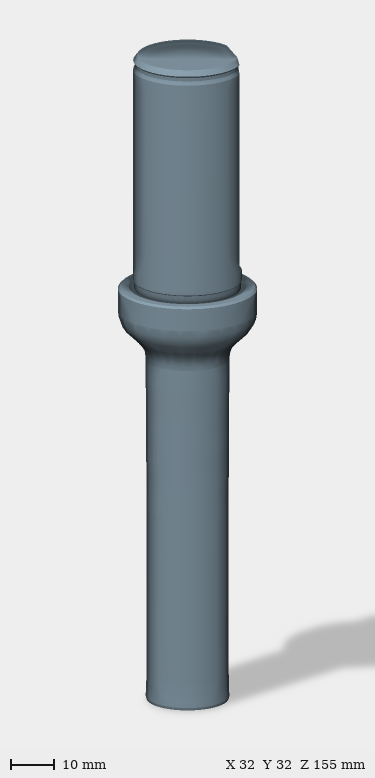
import cadquery as cq

TOTAL_LENGTH = 155.0

HEAD_RADIUS = 18.9 / 2
TIP_RISE = 0.23
TIP_BEVEL_HEIGHT = 0.6
TIP_BEVEL_WIDTH = 0.2
INSERT_LENGTH = 5.9
INSERT_RADIUS = 19.2 / 2
HEAD_LENGTH = 46.0
DRILL_LENGTH = 76.7

NECK_RADIUS = 19.2 / 2
NECK_TOP = 82.0
COLLAR_RADIUS = 32.0 / 2
COLLAR_BOTTOM = 93.6
COLLAR_TOP = 99.4
COLLAR_CHAMFER = 0.5
FLARE_DROP = 0.2

UNDERCUT_RADIUS = 24.5 / 2
UNDERCUT_TOP = 101.0
FACE_RELIEF_RADIUS = 13.5
FACE_RELIEF_FLOOR_RADIUS = 13.0
FACE_RELIEF_DEPTH = 0.3

SHANK_RADIUS = 25.0 / 2
GROOVE_BOTTOM = 151.6
GROOVE_TOP = 153.3
GROOVE_MIDDLE = 152.5
GROOVE_RADIUS = 12.1
TOP_CHAMFER_HEIGHT = 1.2
TOP_CHAMFER_WIDTH = 1.0
FLAT_OFFSET = 10.5
FLAT_RAMP_BOTTOM = 103.0
FLAT_RAMP_HEIGHT = 1.0


def revolve_about_z(profile):
    """Turn a closed (radius, height) profile into a round solid."""
    return profile.close().revolve(360, (0, 0, 0), (0, 1, 0))


def make_drill():
    """Fluted-length envelope: shallow tip, flared insert band, head and tapered body."""
    bevel_top = TIP_RISE + TIP_BEVEL_HEIGHT
    profile = (
        cq.Workplane("XZ")
        .moveTo(0, 0)
        .lineTo(INSERT_RADIUS - TIP_BEVEL_WIDTH, TIP_RISE)
        .lineTo(INSERT_RADIUS, bevel_top)
        .lineTo(HEAD_RADIUS, INSERT_LENGTH)
        .lineTo(HEAD_RADIUS, HEAD_LENGTH)
        .lineTo(NECK_RADIUS, DRILL_LENGTH)
        .lineTo(0, DRILL_LENGTH)
    )
    return revolve_about_z(profile)


def make_turned_holder():
    """Neck, S-shaped flare, collar, relief and grooved shank in one turned profile."""
    flare_middle = ((NECK_RADIUS + COLLAR_RADIUS) / 2, (NECK_TOP + COLLAR_BOTTOM) / 2 - FLARE_DROP)
    relief_floor = COLLAR_TOP - FACE_RELIEF_DEPTH
    undercut_chamfer = SHANK_RADIUS - UNDERCUT_RADIUS
    profile = (
        cq.Workplane("XZ")
        .moveTo(0, DRILL_LENGTH)
        .lineTo(NECK_RADIUS, DRILL_LENGTH)
        .lineTo(NECK_RADIUS, NECK_TOP)
        .spline(
            [flare_middle, (COLLAR_RADIUS, COLLAR_BOTTOM)],
            tangents=[(0, 1), (0, 1)],
            includeCurrent=True,
        )
        .lineTo(COLLAR_RADIUS, COLLAR_TOP - COLLAR_CHAMFER)
        .lineTo(COLLAR_RADIUS - COLLAR_CHAMFER, COLLAR_TOP)
        .lineTo(FACE_RELIEF_RADIUS, COLLAR_TOP)
        .lineTo(FACE_RELIEF_FLOOR_RADIUS, relief_floor)
        .lineTo(UNDERCUT_RADIUS, relief_floor)
        .lineTo(UNDERCUT_RADIUS, UNDERCUT_TOP - undercut_chamfer)
        .lineTo(SHANK_RADIUS, UNDERCUT_TOP)
        .lineTo(SHANK_RADIUS, GROOVE_BOTTOM)
        .lineTo(GROOVE_RADIUS, GROOVE_MIDDLE)
        .lineTo(GROOVE_RADIUS, GROOVE_TOP)
        .lineTo(SHANK_RADIUS, TOTAL_LENGTH - TOP_CHAMFER_HEIGHT)
        .lineTo(SHANK_RADIUS - TOP_CHAMFER_WIDTH, TOTAL_LENGTH)
        .lineTo(0, TOTAL_LENGTH)
    )
    return revolve_about_z(profile)


def make_flat_cutter():
    """Material removed for the clamping flat on the +Y side, with its run-out ramp."""
    return (
        cq.Workplane("YZ")
        .moveTo(SHANK_RADIUS, FLAT_RAMP_BOTTOM)
        .lineTo(FLAT_OFFSET, FLAT_RAMP_BOTTOM + FLAT_RAMP_HEIGHT)
        .lineTo(FLAT_OFFSET, TOTAL_LENGTH)
        .lineTo(SHANK_RADIUS, TOTAL_LENGTH)
        .close()
        .extrude(SHANK_RADIUS, both=True)
    )


drill = make_drill()
holder = make_turned_holder().cut(make_flat_cutter())

result = cq.Compound.makeCompound([drill.val(), holder.val()])